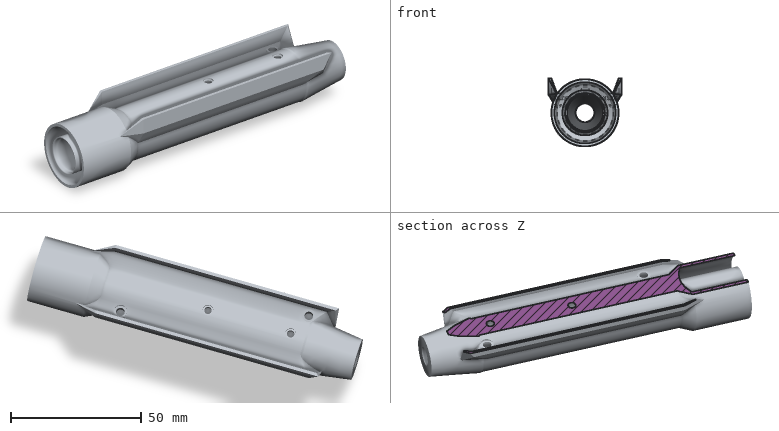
import cadquery as cq
import math

LENGTH = 128.2

SOCKET_RADIUS = 13.0
SOCKET_LENGTH = 22.5
BODY_START = 27.6
BODY_RADIUS = 10.6
BODY_END = 107.6
NOZZLE_START = 108.4
NOZZLE_BASE_RADIUS = 10.9
NOZZLE_TIP_RADIUS = 8.1

SOCKET_BORE_RADIUS = 11.8
SHELL_BORE_RADIUS = 8.7
SHOULDER_END = 25.0
TUBE_OUTER_RADIUS = 7.6
CAVITY_FLARE_START = 104.4
CAVITY_END = 105.2

TUBE_BORE_RADIUS = 6.9
TUBE_LIP_FILLET = 0.5
BORE_TAPER_START = 108.4
TIP_BORE_RADIUS = 3.6

FIN_SPAN = 28.3
FIN_OUTER_X = FIN_SPAN / 2
FIN_THICKNESS = 1.22
FIN_TOP_Z = 13.3
FIN_CORNER_Z = 7.2
FIN_ROOT_X = 10.5
FIN_ROOT_Z = 1.3
TROUGH_CORNER_Z = 7.7
TROUGH_EDGE_X = 5.6
FIN_FRONT_APEX = (10.8, 18.6, 7.2)
FIN_REAR_APEX = (8.5, 117.0, 1.5)

REAR_TOP_OUTER_Y = 117.0
REAR_TOP_INNER_Y = 115.9
REAR_CORNER_Y = 113.1

VENT_RADIUS = 1.4
VENT_RIM_RADIUS = 2.0
VENT_RIM_DEPTH = 0.6
VENT_YS = (68.6, 101.7)
SCREW_RADIUS = 1.7
SCREW_PAD_RADIUS = 2.6
SCREW_PLACES = ((9.5, 36.3), (-9.5, 106.2))
SCREW_PAD_Z = 7.7
SCREW_PAD_BASE_Z = 6.2
SCREW_FLOOR_Z = 5.1


def turned(points):
    """Revolve a closed (radius, Y) outline about the Y axis."""
    return cq.Workplane("XY").polyline(points).close().revolve(360, (0, 0, 0), (0, 1, 0))


def outer_shell():
    return turned([
        (0, 0),
        (SOCKET_RADIUS, 0),
        (SOCKET_RADIUS, SOCKET_LENGTH),
        (BODY_RADIUS, BODY_START),
        (BODY_RADIUS, BODY_END),
        (NOZZLE_BASE_RADIUS, NOZZLE_START),
        (NOZZLE_TIP_RADIUS, LENGTH),
        (0, LENGTH),
    ])


def annular_cavity():
    return turned([
        (TUBE_OUTER_RADIUS, 0),
        (SOCKET_BORE_RADIUS, 0),
        (SOCKET_BORE_RADIUS, SOCKET_LENGTH),
        (SHELL_BORE_RADIUS, SHOULDER_END),
        (SHELL_BORE_RADIUS, CAVITY_END),
        (TUBE_OUTER_RADIUS, CAVITY_FLARE_START),
    ])


def tube_bore():
    lip_radius = TUBE_BORE_RADIUS + TUBE_LIP_FILLET
    inset = TUBE_LIP_FILLET * (1 - math.sqrt(0.5))
    return (
        cq.Workplane("XY")
        .lineTo(lip_radius, 0)
        .threePointArc((TUBE_BORE_RADIUS + inset, inset), (TUBE_BORE_RADIUS, TUBE_LIP_FILLET))
        .lineTo(TUBE_BORE_RADIUS, BORE_TAPER_START)
        .lineTo(TIP_BORE_RADIUS, LENGTH)
        .lineTo(0, LENGTH)
        .close()
        .revolve(360, (0, 0, 0), (0, 1, 0))
    )


def fin_section(inner_x):
    """Wire of the +X fin: trough floor tangent to the body, then up and around to the root."""
    edge_z = math.sqrt(BODY_RADIUS**2 - TROUGH_EDGE_X**2)
    trough_edge = cq.Vector(TROUGH_EDGE_X, BODY_START, edge_z)
    body_tangent = cq.Vector(edge_z, 0, -TROUGH_EDGE_X)
    trough_corner = cq.Vector(inner_x, BODY_START, TROUGH_CORNER_Z)
    floor = cq.Edge.makeTangentArc(trough_edge, body_tangent, trough_corner)
    sides = cq.Wire.makePolygon([
        trough_corner,
        cq.Vector(inner_x, BODY_START, FIN_TOP_Z),
        cq.Vector(FIN_OUTER_X, BODY_START, FIN_TOP_Z),
        cq.Vector(FIN_OUTER_X, BODY_START, FIN_CORNER_Z),
        cq.Vector(FIN_ROOT_X, BODY_START, FIN_ROOT_Z),
        trough_edge,
    ])
    return cq.Wire.assembleEdges([floor] + sides.Edges())


def pyramid(base, apex):
    """Solid that narrows from a wire to a single point."""
    tip = cq.Vertex.makeVertex(*apex)
    return cq.Workplane(cq.occ_impl.shapes.loft(base, tip, cap=True, ruled=True))


def fin():
    """Fin on the +X side: a straight run with a pyramid closing each end."""
    inner_x = FIN_OUTER_X - FIN_THICKNESS
    front_section = fin_section(inner_x)
    prism = cq.Solid.extrudeLinear(front_section, [], cq.Vector(0, LENGTH - BODY_START, 0))

    top_outer = cq.Vector(FIN_OUTER_X, REAR_TOP_OUTER_Y, FIN_TOP_Z)
    top_inner = cq.Vector(inner_x, REAR_TOP_INNER_Y, FIN_TOP_Z)
    corner = cq.Vector(FIN_OUTER_X, REAR_CORNER_Y, FIN_CORNER_Z)
    rear_normal = (corner - top_outer).cross(top_inner - top_outer)
    rear_plane = cq.Plane(origin=top_outer.toTuple(), normal=rear_normal.toTuple())
    beyond_rear = cq.Workplane(rear_plane).rect(2 * LENGTH, 2 * LENGTH).extrude(LENGTH)

    run = cq.Workplane(prism).cut(beyond_rear)
    rear_face = run.faces(cq.selectors.ParallelDirSelector(rear_normal)).val()
    front = pyramid(front_section, FIN_FRONT_APEX)
    rear = pyramid(rear_face.outerWire(), FIN_REAR_APEX)
    return run.union(front).union(rear)


def post(x, y, radius, bottom_z, top_z):
    """Vertical cylinder, used both as a pad and as a drill."""
    return cq.Workplane("XY", origin=(x, y, bottom_z)).circle(radius).extrude(top_z - bottom_z)


right_fin = fin()
result = outer_shell().union(right_fin).union(right_fin.mirror("YZ"))
result = result.cut(annular_cavity()).cut(tube_bore())

for y in VENT_YS:
    result = result.cut(post(0, y, VENT_RADIUS, TUBE_OUTER_RADIUS, SOCKET_RADIUS))
    result = result.cut(post(0, y, VENT_RIM_RADIUS, BODY_RADIUS - VENT_RIM_DEPTH, SOCKET_RADIUS))

for x, y in SCREW_PLACES:
    result = result.union(post(x, y, SCREW_PAD_RADIUS, SCREW_PAD_BASE_Z, SCREW_PAD_Z))
    result = result.cut(post(x, y, SCREW_PAD_RADIUS, SCREW_PAD_Z, SOCKET_RADIUS))
    result = result.cut(post(x, y, SCREW_RADIUS, SCREW_FLOOR_Z, SCREW_PAD_Z))